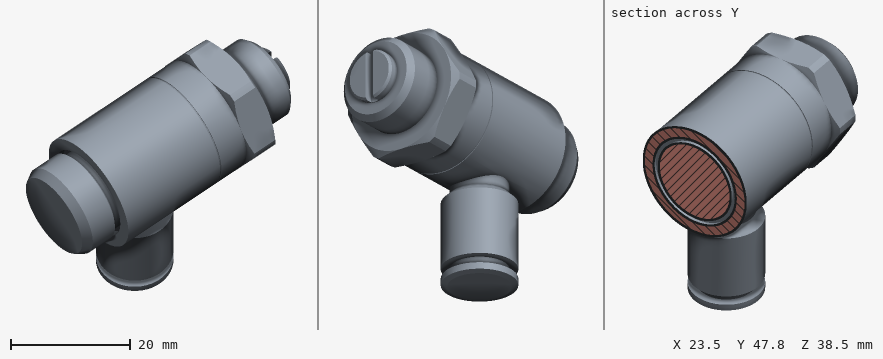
import cadquery as cq
import math

length = 47.8
main_diameter = 21.0
overall_height = 38.5

lead_length = 1.6
lead_diameter = 14.8
thread_diameter = 16.7
thread_back = 6.35
neck_chamfer_end = 7.0
neck_diameter = 14.8
flange_front = 27.7
groove_diameter = 20.7
hex_front = 33.05
hex_back = 39.0
collar_diameter = 15.0
collar_chamfer = 1.0
collar_back = 46.05
tip_diameter = 9.0
tip_chamfer = 0.4

hex_across_flats = main_diameter
hex_corner_diameter = 23.5
hex_chamfer_length = 0.7
slot_width = 1.55
slot_depth = 1.55

sleeve_front = 7.5
sleeve_back = 27.4
recess_diameter = 16.75
recess_depth = 1.45
stem_y = 17.5
stem_diameter = 13.0
stem_neck_diameter = 10.1
stem_cone_top = -11.25
stem_shoulder = -12.65
stem_body_bottom = -24.75
ring_top = -26.5
ring_edge = -27.7
stem_bottom = main_diameter / 2 - overall_height
ring_face_diameter = 10.8


def revolve_about_y(profile):
    """Revolve (diameter, y) points, closed through the axis, about the Y axis."""
    points = [(diameter / 2, y) for diameter, y in profile]
    points = [(0, profile[0][1])] + points + [(0, profile[-1][1])]
    return cq.Workplane("XY").polyline(points).close().revolve(360, (0, 0), (0, 1))


def make_hexagon():
    """Hexagon with flats at top and bottom, and corners turned down and chamfered at both ends."""
    across_corners = hex_across_flats / math.cos(math.pi / 6)
    prism = (
        cq.Workplane("XZ", origin=(0, hex_back, 0))
        .polygon(6, across_corners)
        .extrude(hex_back - hex_front)
    )
    turned_blank = revolve_about_y([
        (hex_across_flats, hex_front),
        (hex_corner_diameter, hex_front + hex_chamfer_length),
        (hex_corner_diameter, hex_back - hex_chamfer_length),
        (hex_across_flats, hex_back),
    ])
    return prism.intersect(turned_blank)


def make_bolt():
    """Bolt with a grooved flange, hexagon, collar and slotted adjusting tip."""
    turned = revolve_about_y([
        (lead_diameter, 0),
        (thread_diameter, lead_length),
        (thread_diameter, thread_back),
        (neck_diameter, neck_chamfer_end),
        (neck_diameter, sleeve_back),
        (groove_diameter, sleeve_back),
        (groove_diameter, flange_front),
        (main_diameter, flange_front),
        (main_diameter, hex_front),
        (collar_diameter, hex_front),
        (collar_diameter, collar_back - collar_chamfer),
        (collar_diameter - 2 * collar_chamfer, collar_back),
        (tip_diameter, collar_back),
        (tip_diameter, length - tip_chamfer),
        (tip_diameter - 2 * tip_chamfer, length),
    ])
    slot = (
        cq.Workplane("XY")
        .box(slot_width, slot_depth, tip_diameter)
        .translate((0, length - slot_depth / 2, 0))
    )
    return turned.union(make_hexagon()).cut(slot)


def make_stem():
    """Hose stem about a vertical axis, starting at the bolt axis and ending in the release ring."""
    profile = [
        (stem_neck_diameter, 0),
        (stem_neck_diameter, stem_cone_top),
        (stem_diameter, stem_shoulder),
        (stem_diameter, stem_body_bottom),
        (stem_neck_diameter, stem_body_bottom),
        (stem_neck_diameter, ring_top),
        (stem_diameter, ring_top),
        (stem_diameter, ring_edge),
        (ring_face_diameter, stem_bottom),
    ]
    points = [(0, 0)] + [(diameter / 2, z) for diameter, z in profile] + [(0, stem_bottom)]
    stem = cq.Workplane("XZ").polyline(points).close().revolve(360, (0, 0), (0, 1))
    return stem.translate((0, stem_y, 0))


def make_swivel():
    """Sleeve with its hose stem, bored to fit the neck of the bolt, with a recess in the front face."""
    sleeve = revolve_about_y([(main_diameter, sleeve_front), (main_diameter, sleeve_back)])
    bore = revolve_about_y([
        (recess_diameter, sleeve_front),
        (recess_diameter, sleeve_front + recess_depth),
        (neck_diameter, sleeve_front + recess_depth),
        (neck_diameter, sleeve_back),
    ])
    return sleeve.union(make_stem()).cut(bore)


bolt = make_bolt()
swivel = make_swivel()
result = cq.Compound.makeCompound([bolt.val(), swivel.val()])